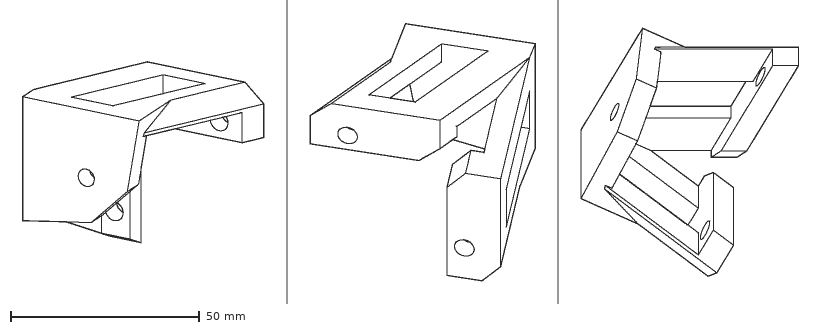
import cadquery as cq
import math


overall_width = 52.2
overall_depth = 38.1
wall = 6.1

plate_width = 35.55
plate_inner_far = 31.95
plate_inner_near = 20.95
plate_hole_place = 19.4
plate_hole_diameter = 4.9

leg_height = 14.8
leg_chamfer = 5.1
window_side_margin = 11.45
flange_hole_x = 42.0
flange_hole_z = -10.0
flange_hole_diameter = 5.4

lean = (overall_width - plate_width) / (overall_depth - wall)
flange_front = overall_depth - wall

chamfer_width = leg_chamfer * math.hypot(1, lean)

chamfer_exit = wall + chamfer_width / lean


def leaning_prism(points, y_start, y_end):
    """Leaning prism between two depths; the XZ points are its section at the back of the plate."""
    shift = lean * (y_start - wall)
    section = cq.Wire.makePolygon([cq.Vector(x + shift, y_start, z) for x, z in points], close=True)
    length = y_end - y_start
    direction = cq.Vector(lean * length, length, 0)
    return cq.Workplane(obj=cq.Solid.extrudeLinear(section, [], direction))


def rectangle(x_min, x_max, height):
    """Corners of an XZ rectangle hanging down from the top face."""
    return [(x_min, 0), (x_max, 0), (x_max, -height), (x_min, -height)]


def plate_block(depth):
    """Plate outline extruded from the front face to the given depth."""
    outline = [
        (0, 0),
        (plate_width, 0),
        (plate_inner_far, -plate_inner_near),
        (plate_inner_near, -plate_inner_far),
        (0, -plate_width),
    ]
    return cq.Workplane("XZ").polyline(outline).close().extrude(-depth)


def hole_along_y(x, z, diameter):
    """Cylinder through the full depth, used to drill a hole."""
    return cq.Workplane("XZ").center(x, z).circle(diameter / 2).extrude(-overall_depth)


def make_leg():
    """Top leg: a windowed wall with a drilled flange hanging at its back end."""
    section = [
        (0, 0),
        (plate_width - chamfer_width, 0),
        (plate_width, -leg_chamfer),
        (plate_width, -leg_height),
        (chamfer_width, -leg_height),
        (0, -leg_height + leg_chamfer),
    ]
    leg = leaning_prism(section, 0, overall_depth)

    under_wall = cq.Workplane("XY", origin=(0, 0, -leg_height)).box(
        overall_width, flange_front, leg_height - wall, centered=False
    )
    leg = leg.cut(under_wall)

    outer_bounds = cq.Workplane("XY", origin=(0, 0, -leg_height)).box(
        overall_width, overall_depth, leg_height, centered=False
    )
    leg = leg.intersect(outer_bounds)

    wall_envelope = leaning_prism(rectangle(0, plate_width, wall), wall, overall_depth)
    leg = leg.union(plate_block(chamfer_exit).intersect(wall_envelope))

    window = leaning_prism(
        rectangle(window_side_margin, plate_width - window_side_margin, wall),
        wall,
        flange_front,
    )
    leg = leg.cut(window)
    return leg.cut(hole_along_y(flange_hole_x, flange_hole_z, flange_hole_diameter))


plate = plate_block(wall).cut(
    hole_along_y(plate_hole_place, -plate_hole_place, plate_hole_diameter)
)
top_leg = make_leg()
side_leg = top_leg.mirror(cq.Vector(1, 0, 1))

result = plate.union(top_leg).union(side_leg)